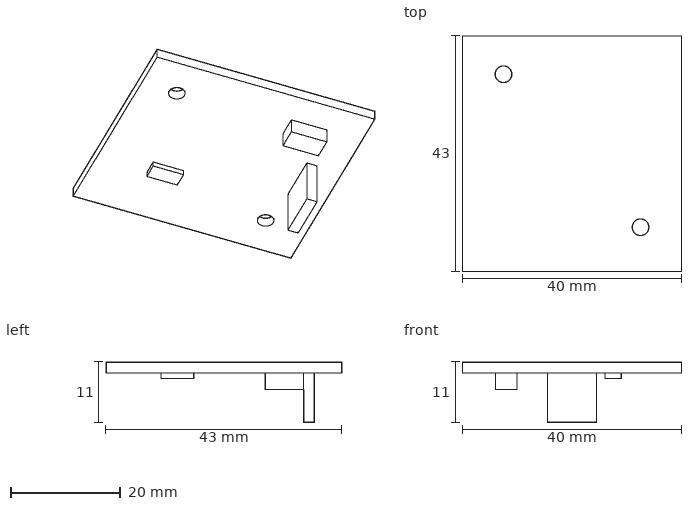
import cadquery as cq

BOARD_LENGTH_X = 40.0
BOARD_LENGTH_Y = 43.0
BOARD_THICKNESS = 2.0

HOLE_DIAMETER = 3.0
HOLE_CENTRES = [(-12.5, 14.5), (12.5, -13.4)]

TAB_WIDTH = 9.0
TAB_THICKNESS = 2.0
TAB_HEIGHT = 9.0
TAB_FRONT_INSET = 5.0
TAB_FRONT_Y = -BOARD_LENGTH_Y / 2 + TAB_FRONT_INSET
TAB_BACK_Y = TAB_FRONT_Y + TAB_THICKNESS

BLOCK_WIDTH = 4.0
BLOCK_LENGTH = 7.0
BLOCK_HEIGHT = 3.0
BLOCK_CENTRE_X = -12.0

CHIP_WIDTH = 3.0
CHIP_LENGTH = 6.0
CHIP_HEIGHT = 1.0
CHIP_CENTRE_X = 7.5
CHIP_CENTRE_Y = 8.5


def make_board():
    """Flat rectangular board with its mounting holes."""
    board = cq.Workplane("XY").box(
        BOARD_LENGTH_X, BOARD_LENGTH_Y, BOARD_THICKNESS, centered=(True, True, False)
    )
    holes = cq.Workplane("XY").pushPoints(HOLE_CENTRES).circle(HOLE_DIAMETER / 2)
    return board.cut(holes.extrude(BOARD_THICKNESS))


def make_underside_block(width, length, height, centre_x, centre_y):
    """Rectangular block hanging down from the underside of the board."""
    return cq.Workplane("XY").center(centre_x, centre_y).rect(width, length).extrude(-height)


tab = make_underside_block(
    TAB_WIDTH, TAB_THICKNESS, TAB_HEIGHT, 0, TAB_FRONT_Y + TAB_THICKNESS / 2
)
block = make_underside_block(
    BLOCK_WIDTH, BLOCK_LENGTH, BLOCK_HEIGHT, BLOCK_CENTRE_X, TAB_BACK_Y + BLOCK_LENGTH / 2
)
chip = make_underside_block(CHIP_WIDTH, CHIP_LENGTH, CHIP_HEIGHT, CHIP_CENTRE_X, CHIP_CENTRE_Y)

result = make_board().union(tab).union(block).union(chip)